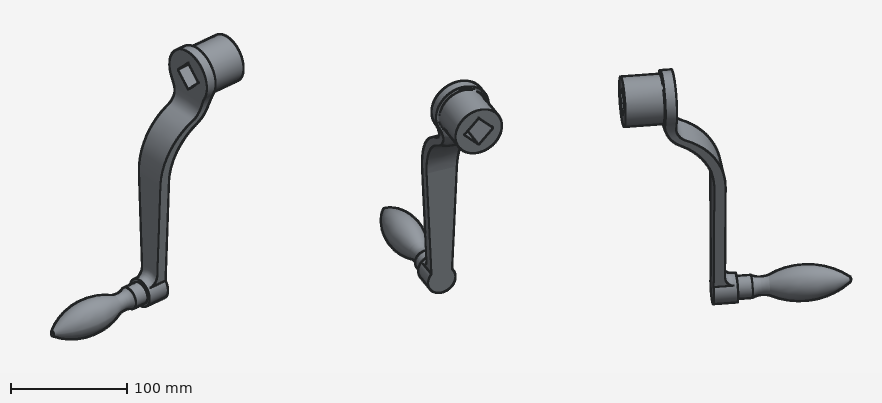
import cadquery as cq
import math


flange_radius = 24.95
plate_thickness = 10.0
hub_radius = 22.0
hub_back = 44.3
hub_root_fillet = 0.7
square_side = 19.3

crank_drop = 200.0
bend_start = -20.0
bend_end = -87.0
arm_offset = 43.5
head_bottom = -12.0
crown_side_start = -13.7
crown_half_width = 22.0
upper_bend_radius = 15.5
arm_half_width_top = 18.0
arm_half_width_bottom = 9.5
neck_fillet = 39.0

boss_radius = 13.0
boss_length = 21.0
boss_fillet = 7.5

collar_radius = 10.1
collar_length = 13.0
neck_radius = 8.07
neck_entry_length = 8.0
neck_exit_length = 7.2
grip_start_radius = 9.0
grip_radius = 16.03
grip_peak_y = -112.5
tip_radius = 2.3
tip_height = 1.0
grip_end = -154.7

arm_front = -arm_offset
boss_front = arm_front + plate_thickness - boss_length


def point_on_circle(center, radius, angle):
    return (center[0] + radius * math.cos(angle), center[1] + radius * math.sin(angle))


def bend_section(x, back_start):
    """Closed S-bend section at one X; its front and back are pairs of tangent arcs."""
    back_end = arm_front + plate_thickness

    def s_curve(upper_radius, start_y, start_z):
        """Points along an S curve that is vertical at both ends."""
        bend_height = start_z - bend_end
        bend_angle = 2 * math.atan(arm_offset / bend_height)
        lower_radius = bend_height / math.sin(bend_angle) - upper_radius
        upper_center = (start_y - upper_radius, start_z)
        lower_center = (start_y - arm_offset + lower_radius, bend_end)
        return [
            (start_y, start_z),
            point_on_circle(upper_center, upper_radius, -bend_angle / 2),
            point_on_circle(upper_center, upper_radius, -bend_angle),
            point_on_circle(lower_center, lower_radius, math.pi - bend_angle / 2),
            (start_y - arm_offset, bend_end),
        ]

    front = s_curve(upper_bend_radius, 0, bend_start)
    back = s_curve(upper_bend_radius + plate_thickness, plate_thickness, back_start)
    return (
        cq.Workplane("YZ", origin=(x, 0, 0))
        .moveTo(0, head_bottom)
        .lineTo(*front[0])
        .threePointArc(front[1], front[2])
        .threePointArc(front[3], front[4])
        .lineTo(back_end, bend_end)
        .threePointArc(back[3], back[2])
        .threePointArc(back[1], back[0])
        .lineTo(plate_thickness, head_bottom)
        .close()
        .wire()
        .val()
    )


def arm_bend():
    """S bend whose back is crowned: full thickness at the middle, thinner toward the sides."""
    sections = [
        bend_section(-crown_half_width, crown_side_start),
        bend_section(0, bend_start),
        bend_section(crown_half_width, crown_side_start),
    ]
    return cq.Workplane(cq.Solid.makeLoft(sections))


def flat_plate(front_y, z_bottom, z_top):
    """Plate of arm thickness, wide enough for the arm outline to trim."""
    return (
        cq.Workplane("XY", origin=(0, front_y + plate_thickness / 2, z_bottom))
        .rect(2 * flange_radius, plate_thickness)
        .extrude(z_top - z_bottom)
    )


def hub():
    """Plain hub with a small concave fillet at the flange."""
    flare_radius = hub_radius + hub_root_fillet
    fillet_end = plate_thickness + hub_root_fillet
    diagonal = hub_root_fillet * (1 - math.sqrt(0.5))
    return (
        cq.Workplane("XY")
        .moveTo(0, plate_thickness)
        .lineTo(flare_radius, plate_thickness)
        .threePointArc(
            (hub_radius + diagonal, plate_thickness + diagonal),
            (hub_radius, fillet_end),
        )
        .lineTo(hub_radius, hub_back)
        .lineTo(0, hub_back)
        .close()
        .revolve(360, (0, 0, 0), (0, 1, 0))
    )


def arm_front_outline():
    """Round head blended into a tapered shank, extruded through the whole arm depth."""
    taper = math.atan((arm_half_width_top - arm_half_width_bottom) / crank_drop)
    edge_distance = arm_half_width_top * math.cos(taper) + neck_fillet
    center_distance = flange_radius + neck_fillet
    center_angle = -taper - math.acos(edge_distance / center_distance)
    center = point_on_circle((0, 0), center_distance, center_angle)
    head_end = point_on_circle((0, 0), flange_radius, center_angle)
    blend_start_angle = math.pi + center_angle
    blend_end_angle = math.pi - taper
    blend_middle = point_on_circle(center, neck_fillet, (blend_start_angle + blend_end_angle) / 2)
    blend_end = point_on_circle(center, neck_fillet, blend_end_angle)

    def mirrored(point):
        return (-point[0], point[1])

    return (
        cq.Workplane("XZ", origin=(0, plate_thickness, 0))
        .moveTo(*mirrored(head_end))
        .threePointArc((0, flange_radius), head_end)
        .threePointArc(blend_middle, blend_end)
        .lineTo(arm_half_width_bottom, -crank_drop)
        .lineTo(-arm_half_width_bottom, -crank_drop)
        .lineTo(*mirrored(blend_end))
        .threePointArc(mirrored(blend_middle), mirrored(head_end))
        .close()
        .extrude(plate_thickness - boss_front)
    )


def boss_blend():
    """Concave fillet ring around the pivot boss, standing on the arm front face."""
    diagonal = boss_fillet * (1 - math.sqrt(0.5))
    return (
        cq.Workplane("XY", origin=(0, 0, -crank_drop))
        .moveTo(0, arm_front)
        .lineTo(boss_radius + boss_fillet, arm_front)
        .threePointArc(
            (boss_radius + diagonal, arm_front - diagonal),
            (boss_radius, arm_front - boss_fillet),
        )
        .lineTo(0, arm_front - boss_fillet)
        .close()
        .revolve(360, (0, 0, 0), (0, 1, 0))
    )


def grip():
    """Collar, waist and barrel-shaped grip turned about the pivot axis."""
    collar_end = boss_front - collar_length
    waist_y = collar_end - neck_entry_length
    grip_start = waist_y - neck_exit_length
    tip_base = grip_end + tip_height
    waist_rise = grip_start_radius - neck_radius
    entry_rise = collar_radius - neck_radius
    return (
        cq.Workplane("XY", origin=(0, 0, -crank_drop))
        .moveTo(0, boss_front)
        .lineTo(collar_radius, boss_front)
        .lineTo(collar_radius, collar_end)
        .threePointArc(
            (neck_radius + entry_rise / 4, waist_y + neck_entry_length / 2),
            (neck_radius, waist_y),
        )
        .threePointArc(
            (neck_radius + waist_rise / 4, waist_y - neck_exit_length / 2),
            (grip_start_radius, grip_start),
        )
        .threePointArc((grip_radius, grip_peak_y), (tip_radius, tip_base))
        .lineTo(0, grip_end)
        .close()
        .revolve(360, (0, 0, 0), (0, 1, 0))
    )


outline = arm_front_outline()
head = flat_plate(0, head_bottom, flange_radius)
shank = flat_plate(arm_front, -crank_drop, bend_end)
arm = head.union(arm_bend()).union(shank).union(boss_blend()).intersect(outline)
boss = (
    cq.Workplane("XZ", origin=(0, arm_front + plate_thickness, -crank_drop))
    .circle(boss_radius)
    .extrude(boss_length)
)
square_hole = (
    cq.Workplane("XZ", origin=(0, hub_back, 0))
    .transformed(rotate=(0, 0, 45))
    .rect(square_side, square_side)
    .extrude(hub_back)
)

result = arm.union(hub()).union(boss).union(grip()).cut(square_hole)